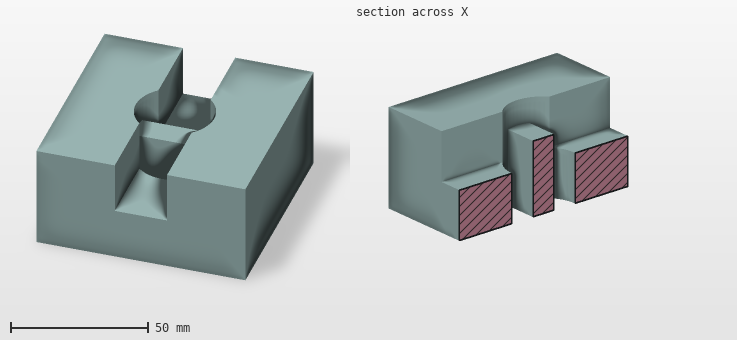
import cadquery as cq

side = 80.0
height = 40.0

slot_width = side / 4
slot_depth = height / 2
slot_floor = height - slot_depth

hole_diameter = 30.0

web_thickness = 10.0
web_height = slot_floor + slot_depth / 2


def box_on_level(length_x, length_y, length_z, bottom):
    """Box centred on the Z axis, standing on the given level."""
    return (
        cq.Workplane("XY", origin=(0, 0, bottom))
        .box(length_x, length_y, length_z, centered=(True, True, False))
    )


block = box_on_level(side, side, height, 0)
slot = box_on_level(slot_width, side, slot_depth, slot_floor)
hole = cq.Workplane("XY").circle(hole_diameter / 2).extrude(height)

web = box_on_level(side, web_thickness, web_height, 0)

result = block.cut(slot).cut(hole).union(web)